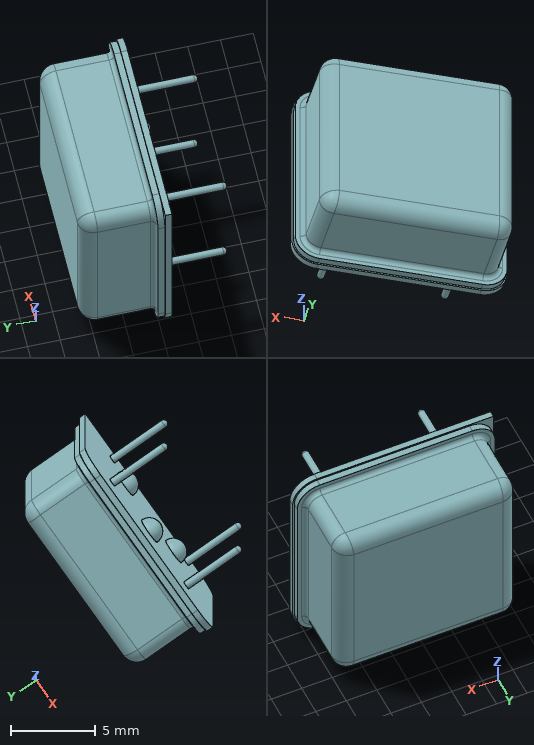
import cadquery as cq
import math

plate_side = 13.2
plate_corner = 1.6
plate_thickness = 0.42
flange_inset = 0.1
flange_thickness = 0.42

cover_inset = 0.7
cover_top = 5.4
cover_edge_radius = 1.0
cover_root_radius = 0.3

pin_spacing = 7.62
pin_radius = 0.25
pin_length = 4.0

ball_radius = 0.8
ball_circle_radius = 2.88
ball_count = 3

pick_margin = 0.01

flange_top = plate_thickness + flange_thickness


def layer(inset, bottom, top):
    """Square slab set in from the plate outline, with sharp corners, between two Y levels."""
    side = plate_side - 2 * inset
    return cq.Workplane("XY").box(side, top - bottom, side).translate((0, (bottom + top) / 2, 0))


def rounded_layer(inset, bottom, top):
    """Slab with all four corners concentric with the plate corners."""
    return layer(inset, bottom, top).edges("|Y").fillet(plate_corner - inset)


def make_plate():
    """Base plate with one sharp corner, at -X +Z, marking pin 1."""
    half = plate_side / 2
    start = half - plate_corner
    sharp_corner = cq.Workplane("XY").box(plate_corner, plate_thickness, plate_corner)
    centre = (half + start) / 2
    sharp_corner = sharp_corner.translate((-centre, plate_thickness / 2, centre))
    return rounded_layer(0, 0, plate_thickness).union(sharp_corner)


def make_cover():
    """Flanged can with a rounded rear rim and a small fillet at its root."""
    can = rounded_layer(cover_inset, flange_top, cover_top)
    can = can.faces(">Y").edges().fillet(cover_edge_radius)
    flange = rounded_layer(flange_inset, plate_thickness, flange_top)
    inside = plate_side / 2 - cover_inset + pick_margin
    root = cq.selectors.BoxSelector(
        (-inside, flange_top - pick_margin, -inside),
        (inside, flange_top + pick_margin, inside),
    )
    return can.union(flange).edges(root).fillet(cover_root_radius)


def make_pin():
    """Round pin with a hemispherical tip, pointing along -Y from the plate."""
    shank = cq.Workplane("XZ").circle(pin_radius).extrude(pin_length - pin_radius)
    tip = cq.Workplane("XY").sphere(pin_radius).translate((0, pin_radius - pin_length, 0))
    return shank.union(tip)


result = make_plate().union(make_cover())

pin = make_pin()
for x in (-pin_spacing / 2, pin_spacing / 2):
    for z in (-pin_spacing / 2, pin_spacing / 2):
        result = result.union(pin.translate((x, 0, z)))

half_ball = cq.Workplane("XY").sphere(ball_radius).intersect(layer(0, -ball_radius, 0))
for i in range(ball_count):
    angle = math.radians(-90 + i * 360 / ball_count)
    x = ball_circle_radius * math.cos(angle)
    z = ball_circle_radius * math.sin(angle)
    result = result.union(half_ball.translate((x, 0, z)))